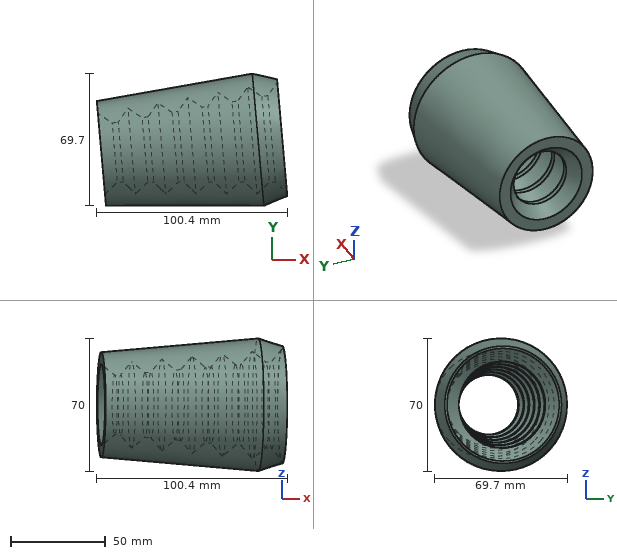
import cadquery as cq
import math

half_angle = 5.0
tip_radius = 27.75
crown_radius = 35.0
end_radius = 30.9
nose_length = 12.8
bore_radius = 15.0
ridge_width = 3.2
lead_in_length = 7.0
ridge_count = 6
groove_depth = 6.3

taper = math.tan(math.radians(half_angle))
taper_length = (crown_radius - tip_radius) / taper
total_length = taper_length + nose_length
ridge_pitch = total_length / ridge_count


def bore_radius_at(depth):
    """Radius of the ridge crests at an axial depth from the small end face."""
    return bore_radius + depth * taper


def groove_radius_at(depth):
    """Radius of the groove bottoms at an axial depth from the small end face."""
    return bore_radius_at(depth) + groove_depth


def sleeve_outline():
    """Half section of the sleeve: X is the axis, Y is the radius."""
    points = [
        (total_length, end_radius),
        (taper_length, crown_radius),
        (0, tip_radius),
    ]
    for ridge in range(ridge_count):
        groove_bottom = ridge * ridge_pitch
        crest_start = groove_bottom + lead_in_length
        crest_end = crest_start + ridge_width
        points.append((groove_bottom, groove_radius_at(groove_bottom)))
        points.append((crest_start, bore_radius_at(crest_start)))
        points.append((crest_end, bore_radius_at(crest_end)))
    points.append((total_length, groove_radius_at(total_length)))
    return points


sleeve = cq.Workplane("XY").polyline(sleeve_outline()).close().revolve(360, (0, 0, 0), (1, 0, 0))

result = sleeve.rotate((0, 0, 0), (0, 0, 1), half_angle)